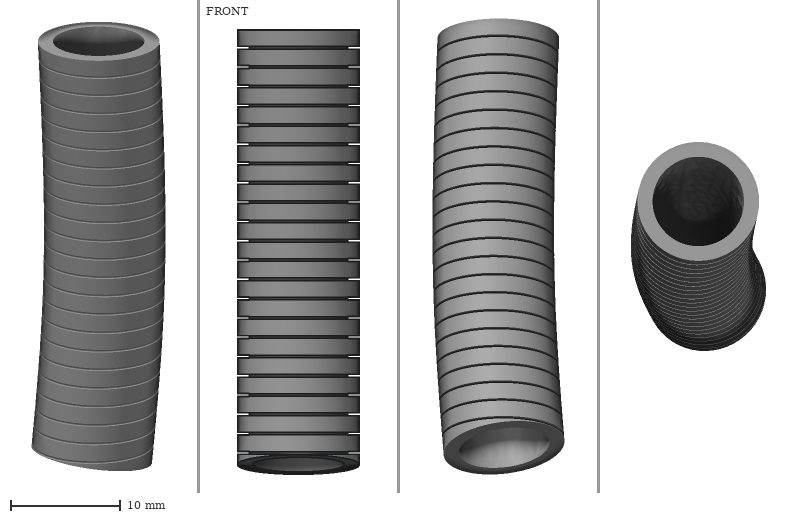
import cadquery as cq
import math

outer_diameter = 11.17
groove_diameter = 9.05
bore_diameter = 8.4

top_z = 40.75
bow_y = 0.5
bow_z = 15.35
bottom_y = -0.75
top_tilt = 3.1
bottom_tilt = 6.1
end_face_tilt = math.radians(top_tilt + bottom_tilt)
bottom_z = outer_diameter / 2 * math.sin(end_face_tilt)

groove_count = 22
groove_height = 0.25
land_height = 1.525
groove_pitch = land_height + groove_height
slab_side = 2 * outer_diameter


def centreline():
    """Path from the centre of the level top face to the centre of the bottom face."""
    top_angle = math.radians(top_tilt)
    bottom_angle = math.radians(bottom_tilt)
    return cq.Workplane("YZ").spline(
        [(0, top_z), (bow_y, bow_z), (bottom_y, bottom_z)],
        tangents=[
            (math.sin(top_angle), -math.cos(top_angle)),
            (-math.sin(bottom_angle), -math.cos(bottom_angle)),
        ],
    )


def bent_rod(diameter):
    """Round rod along the centreline, starting from a level circle at the top."""
    return cq.Workplane("XY", origin=(0, 0, top_z)).circle(diameter / 2).sweep(centreline())


def groove_slabs():
    """Level slabs, one per groove, stacked down from the top face."""
    first_groove_top = top_z - land_height
    slabs = cq.Workplane("XY")
    for index in range(groove_count):
        groove_bottom = first_groove_top - index * groove_pitch - groove_height
        slabs = slabs.add(
            cq.Workplane("XY", origin=(0, 0, groove_bottom))
            .rect(slab_side, slab_side)
            .extrude(groove_height)
        )
    return slabs.combine()


grooves = groove_slabs().cut(bent_rod(groove_diameter))
result = bent_rod(outer_diameter).cut(grooves).cut(bent_rod(bore_diameter))